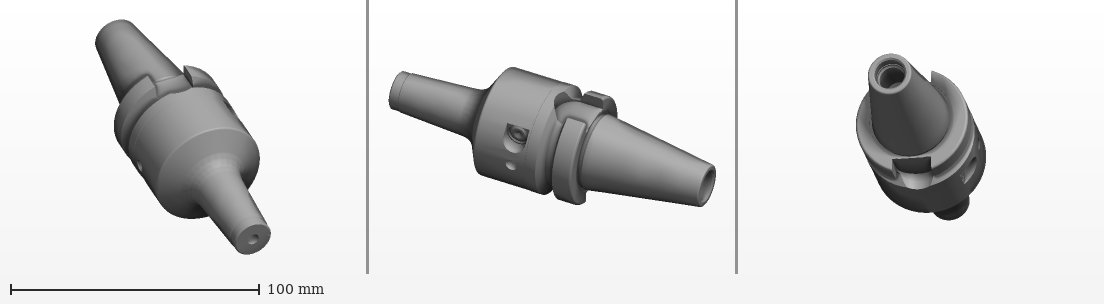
import cadquery as cq
import math

length = 138.4
flange_radius = 23.0
body_radius = 22.8

taper_small_radius = 8.9
taper_length = 48.5
taper_half_slope = 7 / 48
taper_end_fillet = 0.8
neck_start = 49.3
neck_radius = 15.43

flange_start = 50.1
flange_front_fillet = 1.1
face_recess_radius = 17.2
face_recess_depth = 0.4
groove_start = 58.3
groove_floor_start = 60.2
groove_floor_end = 63.4
groove_end = 65.7
groove_radius = 18.8
flange_end = 70.6

shoulder_start = 93.1
shoulder_angle = 60.0
shoulder_fillet = 8.5
shoulder_edge_fillet = 1.1
nose_root_x = 104.8
nose_root_radius = 10.0
nose_start = 133.3
nose_taper_end_radius = 8.3
nose_radius = 8.0
nose_end = 137.8
nose_chamfer = 0.5

pin_radius = 0.21
pin_offset = 6.8

slot_width = 16.0
slot_end = 67.3
slot_floor = 16.2

bore_mouth_radius = 6.9
bore_radius = 6.2
bore_depth = 4.8
thread_entry_radius = 6.0
thread_entry_depth = 5.8
thread_radius = 5.3
thread_depth = 22.1
drill_point_angle = 118.0
coolant_radius = 2.5

side_x = 76.4
pocket_radius = 5.0
pocket_offset = 12.0
pocket_floor = 15.9
screw_radius = 4.5
screw_tip_radius = 3.0
screw_cup_radius = 2.1
screw_chamfer = 1.1
screw_cup_depth = 1.4
side_hole_radius = 2.5
side_hole_offset = 1.1
side_hole_depth = 3.5
side_hole_core_radius = 1.2
side_hole_core_depth = 6.9


def fillet_rim(body, x, radius, fillet_radius):
    """Round the circular edge of the given radius around the X axis at x."""
    margin = 0.07
    reach = radius + margin
    rim = cq.selectors.BoxSelector(
        (x - margin, -reach, -reach), (x + margin, reach, reach), boundingbox=True
    )
    hub = cq.selectors.BoxSelector(
        (x - margin, margin - radius, margin - radius),
        (x + margin, radius - margin, radius - margin),
        boundingbox=True,
    )
    return body.edges(rim - hub).fillet(fillet_radius)


def turned_body():
    """Revolve the outer profile about the X axis."""
    taper_end_radius = taper_small_radius + taper_half_slope * taper_length
    nose_slope = (nose_root_radius - nose_taper_end_radius) / (nose_start - nose_root_x)
    cone_slope = math.tan(math.radians(shoulder_angle))
    corner_x = (
        body_radius + cone_slope * shoulder_start - nose_root_radius - nose_slope * nose_root_x
    ) / (cone_slope - nose_slope)
    corner_radius = nose_root_radius + nose_slope * (nose_root_x - corner_x)
    outline = [
        (0, 0),
        (0, taper_small_radius),
        (taper_length, taper_end_radius),
        (neck_start, neck_radius),
        (flange_start + face_recess_depth, neck_radius),
        (flange_start + face_recess_depth, face_recess_radius),
        (flange_start, face_recess_radius),
        (flange_start, flange_radius),
        (groove_start, flange_radius),
        (groove_floor_start, groove_radius),
        (groove_floor_end, groove_radius),
        (groove_end, flange_radius),
        (flange_end - (flange_radius - body_radius), flange_radius),
        (flange_end, body_radius),
        (shoulder_start, body_radius),
        (corner_x, corner_radius),
        (nose_start, nose_taper_end_radius),
        (nose_start + nose_taper_end_radius - nose_radius, nose_radius),
        (nose_end - nose_chamfer, nose_radius),
        (nose_end, nose_radius - nose_chamfer),
        (nose_end, 0),
    ]
    body = cq.Workplane("XY").polyline(outline).close().revolve(360, (0, 0), (1, 0))
    body = fillet_rim(body, 0, taper_small_radius, taper_end_fillet)
    body = fillet_rim(body, corner_x, corner_radius, shoulder_fillet)
    body = fillet_rim(body, shoulder_start, body_radius, shoulder_edge_fillet)
    return fillet_rim(body, flange_start, flange_radius, flange_front_fillet)


def face_pin():
    """Pin standing on the nose face at the +Y side, reaching the full length."""
    pin = cq.Workplane("YZ", origin=(nose_start, pin_offset, 0)).circle(pin_radius)
    return pin.extrude(length - nose_start)


def axial_bore():
    """Stepped bore from the taper end, running through as a coolant hole."""
    mouth = bore_mouth_radius - bore_radius
    drill_point = (thread_radius - coolant_radius) / math.tan(math.radians(drill_point_angle / 2))
    outline = [
        (0, 0),
        (0, bore_mouth_radius),
        (mouth, bore_radius),
        (bore_depth, bore_radius),
        (bore_depth, thread_entry_radius),
        (thread_entry_depth, thread_entry_radius),
        (thread_entry_depth + thread_entry_radius - thread_radius, thread_radius),
        (thread_depth, thread_radius),
        (thread_depth + drill_point, coolant_radius),
        (length, coolant_radius),
        (length, 0),
    ]
    return cq.Workplane("XY").polyline(outline).close().revolve(360, (0, 0), (1, 0))


def drive_slot():
    """Round-ended slot entering the flange from the taper side, at the +Z side."""
    arc_x = slot_end - slot_width / 2
    return (
        cq.Workplane("XY", origin=(0, 0, slot_floor))
        .moveTo(taper_length, -slot_width / 2)
        .lineTo(arc_x, -slot_width / 2)
        .threePointArc((slot_end, 0), (arc_x, slot_width / 2))
        .lineTo(taper_length, slot_width / 2)
        .close()
        .extrude(flange_radius)
    )


def turned_cutter(profile, y, z):
    """Revolve (radius, depth) points about a line along Y; depth grows from y towards +Y."""
    cutter = cq.Workplane("XY").polyline(profile).close().revolve(360, (0, 0), (0, 1))
    return cutter.translate((side_x, y, z))


def screw_pocket():
    """Flat-floored pocket, open downwards, with a cup-point set screw in its floor, at the -Y side."""
    depth = flange_radius - pocket_floor
    round_end = turned_cutter(
        [(0, 0), (pocket_radius, 0), (pocket_radius, depth), (0, depth)], -flange_radius, -pocket_offset
    )
    open_end = cq.Workplane("XY").box(
        2 * pocket_radius, depth, flange_radius, centered=(True, False, False)
    )
    open_end = open_end.translate((side_x, -flange_radius, -pocket_offset - flange_radius))
    screw_chamfer_groove = turned_cutter(
        [(screw_tip_radius, 0), (screw_radius, 0), (screw_radius, screw_chamfer)],
        -pocket_floor,
        -pocket_offset,
    )
    screw_cup = turned_cutter(
        [(0, 0), (screw_cup_radius, 0), (0, screw_cup_depth)], -pocket_floor, -pocket_offset
    )
    return round_end.union(open_end).union(screw_chamfer_groove).union(screw_cup)


def side_hole():
    """Stepped blind hole with a conical shoulder, just below the axis at the -Y side."""
    step = side_hole_radius - side_hole_core_radius
    profile = [
        (0, 0),
        (side_hole_radius, 0),
        (side_hole_radius, side_hole_depth),
        (side_hole_core_radius, side_hole_depth + step),
        (side_hole_core_radius, side_hole_core_depth),
        (0, side_hole_core_depth),
    ]
    return turned_cutter(profile, -flange_radius, -side_hole_offset)


result = turned_body().union(face_pin()).cut(axial_bore())
for angle in (0, 180):
    for cutter in (drive_slot(), screw_pocket(), side_hole()):
        result = result.cut(cutter.rotate((0, 0, 0), (1, 0, 0), angle))